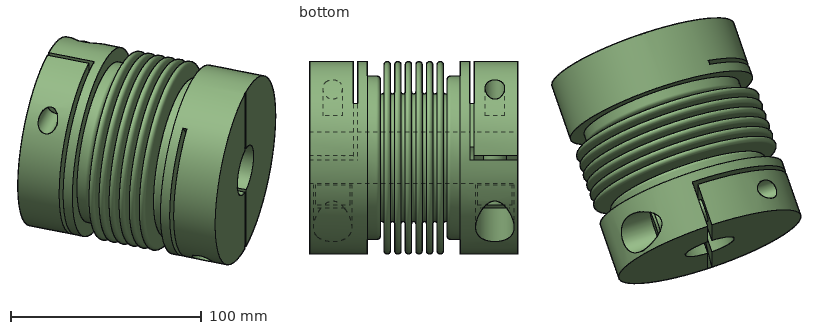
import cadquery as cq
import math


LENGTH = 109.0
OUTER_RADIUS = 50.5
BORE_RADIUS = 13.5

HUB_LENGTH = 30.2
SHOULDER_LENGTH = 6.9
SHOULDER_RADIUS = 42.9
SHOULDER_FILLET = 2.0

CREST_COUNT = 6
PITCH = 5.55
CREST_WIDTH = 3.45
ROOT_RADIUS = 33.5

SLOT_WIDTH = 2.3
CROSS_SLIT_WIDTH = 2.2
CLAMP_WIDTH = 22.9
CROSS_SLIT_END_Y = -28.5
CROSS_SLIT_BORE_Y = -5.6

SCREW_FACE_DISTANCE = 12.0
SCREW_HEIGHT = 35.0
SCREW_RADIUS = 6.0
THREAD_HOLE_RADIUS = 5.15
THREAD_HOLE_END_Y = -22.0
HEAD_POCKET_RADIUS = 10.1
HEAD_RADIUS = 9.0
HEAD_TOP_Y = 26.3
HEAD_LENGTH = 12.0
HEAD_CHAMFER = 1.4

HALF_LENGTH = LENGTH / 2
HUB_INNER_X = -HALF_LENGTH + HUB_LENGTH
SHOULDER_END_X = HUB_INNER_X + SHOULDER_LENGTH
CUT_REACH = 2 * OUTER_RADIUS
SCREW_X = -HALF_LENGTH + SCREW_FACE_DISTANCE


def on_circle_below(y, radius):
    """Z of the point at y on the lower half of a circle about the axis."""
    return -math.sqrt(radius**2 - y**2)


def x_cylinder(start_x, length, radius):
    """Cylinder on the coupling axis, from start_x toward +X."""
    return cq.Workplane("YZ").workplane(offset=start_x).circle(radius).extrude(length)


def screw_cylinder(start_y, end_y, radius):
    """Cylinder on the screw axis, from start_y up to end_y."""
    return (
        cq.Workplane("XZ", origin=(SCREW_X, start_y, SCREW_HEIGHT))
        .circle(radius)
        .extrude(start_y - end_y)
    )


def make_bellows():
    """Solid of revolution with full-round crests and full-round roots."""
    crest_round = CREST_WIDTH / 2
    root_width = PITCH - CREST_WIDTH
    root_round = root_width / 2
    crest_side = OUTER_RADIUS - crest_round
    root_side = ROOT_RADIUS + root_round

    first_crest_x = -PITCH * (CREST_COUNT - 1) / 2
    start_x = first_crest_x - PITCH / 2
    profile = (
        cq.Workplane("XY")
        .moveTo(SHOULDER_END_X, 0)
        .lineTo(SHOULDER_END_X, ROOT_RADIUS)
        .lineTo(start_x, ROOT_RADIUS)
    )
    for index in range(CREST_COUNT):
        crest_x = first_crest_x + index * PITCH
        left_x = crest_x - crest_round
        right_x = crest_x + crest_round
        profile = (
            profile
            .radiusArc((left_x, root_side), -root_round)
            .lineTo(left_x, crest_side)
            .threePointArc((crest_x, OUTER_RADIUS), (right_x, crest_side))
            .lineTo(right_x, root_side)
            .radiusArc((crest_x + PITCH / 2, ROOT_RADIUS), -root_round)
        )
    profile = profile.lineTo(-SHOULDER_END_X, ROOT_RADIUS).lineTo(-SHOULDER_END_X, 0).close()
    return profile.revolve(360, (0, 0, 0), (1, 0, 0))


def cut_cross_slit(hub):
    """Slit across the hub that frees the clamp: open above the axis, slanted floor below it."""
    bore_z = on_circle_below(CROSS_SLIT_BORE_Y, BORE_RADIUS)
    end_z = on_circle_below(CROSS_SLIT_END_Y, OUTER_RADIUS)
    slope = (bore_z - end_z) / (CROSS_SLIT_BORE_Y - CROSS_SLIT_END_Y)
    wall_y = SLOT_WIDTH / 2
    wall_z = bore_z + slope * (wall_y - CROSS_SLIT_BORE_Y)
    outer_z = bore_z + slope * (-CUT_REACH - CROSS_SLIT_BORE_Y)
    slit = (
        cq.Workplane("YZ")
        .workplane(offset=-HALF_LENGTH + CLAMP_WIDTH)
        .polyline([(wall_y, CUT_REACH), (wall_y, wall_z), (-CUT_REACH, outer_z), (-CUT_REACH, CUT_REACH)])
        .close()
        .extrude(CROSS_SLIT_WIDTH)
    )
    return hub.cut(slit)


def cut_axial_slots(hub):
    """Slot above the bore to the cross slit, and a slot below it that runs out at the rim."""
    slot_end_x = -HALF_LENGTH + CLAMP_WIDTH
    outline = [
        (-HALF_LENGTH, OUTER_RADIUS),
        (slot_end_x, OUTER_RADIUS),
        (slot_end_x, -BORE_RADIUS),
        (-HALF_LENGTH, -OUTER_RADIUS),
    ]
    slot = cq.Workplane("XZ").polyline(outline).close().extrude(SLOT_WIDTH / 2, both=True)
    return hub.cut(slot)


def fit_screw(hub):
    """Head pocket on the +Y side, threaded hole on the -Y side, and the screw itself."""
    seat_y = HEAD_TOP_Y - HEAD_LENGTH
    pocket = screw_cylinder(seat_y, OUTER_RADIUS, HEAD_POCKET_RADIUS)
    thread_hole = screw_cylinder(-OUTER_RADIUS, THREAD_HOLE_END_Y, THREAD_HOLE_RADIUS)
    head = screw_cylinder(seat_y, HEAD_TOP_Y, HEAD_RADIUS).faces(">Y").chamfer(HEAD_CHAMFER)
    shank = screw_cylinder(THREAD_HOLE_END_Y, seat_y, SCREW_RADIUS)
    return hub.cut(pocket).cut(thread_hole).union(head).union(shank)


def make_hub():
    """Hub at the -X end, with its shoulder and clamp."""
    hub = x_cylinder(-HALF_LENGTH, HUB_LENGTH, OUTER_RADIUS)
    shoulder = x_cylinder(HUB_INNER_X, SHOULDER_LENGTH, SHOULDER_RADIUS)
    shoulder = shoulder.faces(">X").edges().fillet(SHOULDER_FILLET)
    hub = hub.union(shoulder)
    hub = hub.cut(x_cylinder(-HALF_LENGTH, LENGTH, BORE_RADIUS))
    hub = cut_cross_slit(hub)
    hub = cut_axial_slots(hub)
    return fit_screw(hub)


left_hub = make_hub()
right_hub = left_hub.rotate((0, 0, 0), (0, 1, 0), 180)
bellows = make_bellows().cut(x_cylinder(-HALF_LENGTH, LENGTH, BORE_RADIUS))
result = bellows.union(left_hub).union(right_hub)